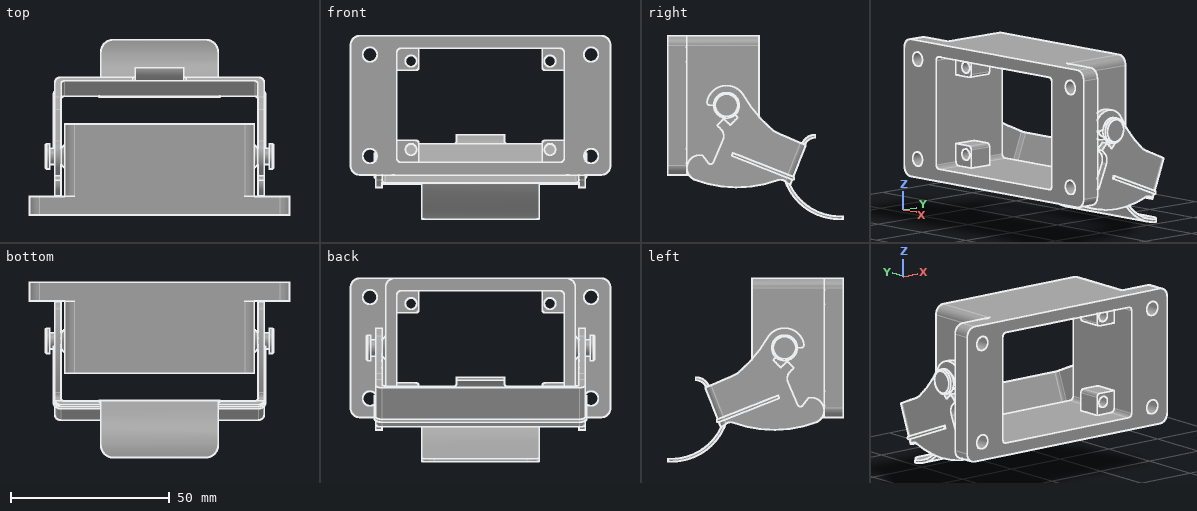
import cadquery as cq
import math

FLANGE_WIDTH = 82.0
HEIGHT = 43.95
FLANGE_THICKNESS = 6.0
SLEEVE_WIDTH = 59.9
HOUSING_DEPTH = 28.8
OUTER_CORNER_RADIUS = 3.0

OPENING_WIDTH = 52.7
OPENING_HEIGHT = 35.9
OPENING_CORNER_RADIUS = 1.2

FLANGE_HOLE_DIAMETER = 4.5
FLANGE_HOLE_X = 34.85
FLANGE_HOLE_Z = 16.0

BOSS_SIZE = 7.0
BOSS_CORNER_RADIUS = 1.1
BOSS_FRONT = 8.6
BOSS_LENGTH = 7.95
BOSS_HOLE_DIAMETER = 3.5
BOSS_HOLE_X = 21.9
BOSS_HOLE_Z = 13.9

PIN_Y = 18.5
PIN_DIAMETER = 5.2
PIN_ROOT_DIAMETER = 7.4
PIN_HEAD_DIAMETER = 8.0
PIN_HEAD_INNER_X = 34.5
PIN_HEAD_OUTER_X = 36.1
PIN_HEAD_CHAMFER = 0.5

LEVER_TILT = 21.5
ARM_INNER_X = 31.0
ARM_OUTER_X = 33.05
BACK_REACH = 27.9
SHEET = 1.3
TAB_SHEET = 1.0
BACK_TOP = -2.55
BACK_BOTTOM = -15.8
BEND_OUTER_RADIUS = 2.0
BEND_INNER_RADIUS = 1.0

HOOK_RADIUS = 6.2
HOOK_START_ANGLE = 37
HOOK_END_ANGLE = 170
HOOK_TIP_RADIUS = 1.1
HOOK_TIP_INSET = 0.3
SEAT_END_ANGLE = -45

NOTCH_AND_TOOTH = [(22.05, -3.85), (19.8, -6.2), (17.6, -4.3), (15.6, -6.3), (16.9, -7.6)]

ARM_TOP_BEND = [(37.3, -9.8), (35.35, -9.0), (33.4, -8.0)]
ARM_TOP_HOLLOW = (28.8, -3.6)
THROAT = [(17.6, -9.3), (17.4, -11.0)]
RECESS_ROOT = [(14.4, -17.9), (13.7, -18.5), (12.7, -18.0)]
BOTTOM_BOW = [(21.6, -25.9), (34.8, -23.6)]
BOTTOM_FLARE = (36.5, -23.7)

NOSE_RADIUS = 4.1
NOSE_START_ANGLE = 79
NOSE_END_ANGLE = -116
NOSE_Y = 10.2
NOSE_Z = -19.8

BEAD_RADIUS = 0.5
BEAD_RISE = -13.7
BEAD_END_REACH = 7.4

CATCH_WIDTH = 15.25
CATCH_RADIUS = 4.5
HANDLE_WIDTH = 37.1
HANDLE_RADIUS = 18.2
HANDLE_LOW_Y = 54.1
HANDLE_END_Y = 55.35
HANDLE_BOTTOM = -35.9
HANDLE_CORNER_RADIUS = 4.0
TAB_ROOT_RADIUS = 0.7

CORNERS = [(sx, sz) for sx in (-1, 1) for sz in (-1, 1)]
PIN_RADIUS = PIN_DIAMETER / 2


def block_y(width, height, front, length, radius):
    """Rounded rectangle centred on X and Z, running in +Y from front."""
    return (
        cq.Workplane("XZ", origin=(0, front, 0))
        .rect(width, height)
        .extrude(-length)
        .edges("|Y")
        .fillet(radius)
    )


def rod_y(diameter, x, z, length):
    """Cylinder along +Y, starting at Y = 0."""
    return cq.Workplane("XZ").center(x, z).circle(diameter / 2).extrude(-length)


def corner_boss(side_x, side_z):
    """Square boss filling one corner of the opening, with only its free corner rounded."""
    center_x = side_x * (OPENING_WIDTH - BOSS_SIZE) / 2
    center_z = side_z * (OPENING_HEIGHT - BOSS_SIZE) / 2
    free_corner = cq.selectors.NearestToPointSelector(
        (
            center_x - side_x * BOSS_SIZE / 2,
            BOSS_FRONT + BOSS_LENGTH / 2,
            center_z - side_z * BOSS_SIZE / 2,
        )
    )
    boss = (
        cq.Workplane("XZ", origin=(center_x, BOSS_FRONT, center_z))
        .rect(BOSS_SIZE, BOSS_SIZE)
        .extrude(-BOSS_LENGTH)
        .edges(free_corner)
        .fillet(BOSS_CORNER_RADIUS)
    )
    pad = (
        cq.Workplane("XZ", origin=(side_x * OPENING_WIDTH / 2, BOSS_FRONT, side_z * OPENING_HEIGHT / 2))
        .rect(BOSS_SIZE / 2, BOSS_SIZE / 2)
        .extrude(-BOSS_LENGTH)
    )
    return boss.union(pad)


def pivot_pin():
    """Headed pin on the +X wall: conical root, shank and chamfered head, revolved about its axis."""
    wall_x = SLEEVE_WIDTH / 2
    head_radius = PIN_HEAD_DIAMETER / 2
    return (
        cq.Workplane("XY", origin=(0, PIN_Y, 0))
        .moveTo(wall_x, 0)
        .lineTo(wall_x, PIN_ROOT_DIAMETER / 2)
        .lineTo(ARM_INNER_X, PIN_RADIUS)
        .lineTo(PIN_HEAD_INNER_X, PIN_RADIUS)
        .lineTo(PIN_HEAD_INNER_X, head_radius)
        .lineTo(PIN_HEAD_OUTER_X - PIN_HEAD_CHAMFER, head_radius)
        .lineTo(PIN_HEAD_OUTER_X, head_radius - PIN_HEAD_CHAMFER)
        .lineTo(PIN_HEAD_OUTER_X, 0)
        .close()
        .revolve(360, (0, 0, 0), (1, 0, 0))
    )


def make_housing():
    housing = block_y(FLANGE_WIDTH, HEIGHT, 0, FLANGE_THICKNESS, OUTER_CORNER_RADIUS)
    housing = housing.union(block_y(SLEEVE_WIDTH, HEIGHT, 0, HOUSING_DEPTH, OUTER_CORNER_RADIUS))
    housing = housing.cut(
        block_y(OPENING_WIDTH, OPENING_HEIGHT, 0, HOUSING_DEPTH, OPENING_CORNER_RADIUS)
    )
    for side_x, side_z in CORNERS:
        housing = housing.union(corner_boss(side_x, side_z))
    for side_x, side_z in CORNERS:
        housing = housing.cut(
            rod_y(BOSS_HOLE_DIAMETER, side_x * BOSS_HOLE_X, side_z * BOSS_HOLE_Z, HOUSING_DEPTH)
        )
        housing = housing.cut(
            rod_y(FLANGE_HOLE_DIAMETER, side_x * FLANGE_HOLE_X, side_z * FLANGE_HOLE_Z, FLANGE_THICKNESS)
        )
    pin = pivot_pin()
    return housing.union(pin).union(pin.mirror("YZ"))


def lever_point(reach, rise):
    """(Y, Z) of a point given in the swung-down lever: reach from the pin axis, rise square to it."""
    tilt = math.radians(LEVER_TILT)
    y = PIN_Y + reach * math.cos(tilt) + rise * math.sin(tilt)
    z = -reach * math.sin(tilt) + rise * math.cos(tilt)
    return y, z


def on_circle(center, radius, degrees):
    """(Y, Z) on a circle, the angle counted from +Y towards +Z."""
    angle = math.radians(degrees)
    return center[0] + radius * math.cos(angle), center[1] + radius * math.sin(angle)


def extrude_across(outline, half_width):
    """Extrude a closed YZ outline symmetrically along X."""
    return outline.extrude(half_width, both=True)


def lever_blank():
    """Side shape of the lever, as wide as the whole U."""
    pin_center = (PIN_Y, 0)
    nose_center = (NOSE_Y, NOSE_Z)
    hook_tip_y = PIN_Y - HOOK_RADIUS
    outline = (
        cq.Workplane("YZ")
        .moveTo(*lever_point(BACK_REACH, BACK_TOP))
        .lineTo(*ARM_TOP_BEND[0])
        .threePointArc(*ARM_TOP_BEND[1:])
        .threePointArc(ARM_TOP_HOLLOW, on_circle(pin_center, HOOK_RADIUS, HOOK_START_ANGLE))
        .threePointArc(
            on_circle(pin_center, HOOK_RADIUS, 90),
            on_circle(pin_center, HOOK_RADIUS, HOOK_END_ANGLE),
        )
        .threePointArc((hook_tip_y + HOOK_TIP_INSET, HOOK_TIP_INSET), (hook_tip_y + HOOK_TIP_RADIUS, 0))
        .lineTo(PIN_Y - PIN_RADIUS, 0)
        .threePointArc(
            on_circle(pin_center, PIN_RADIUS, 90),
            on_circle(pin_center, PIN_RADIUS, SEAT_END_ANGLE),
        )
        .polyline(NOTCH_AND_TOOTH, includeCurrent=True)
        .threePointArc(*THROAT)
        .lineTo(*RECESS_ROOT[0])
        .threePointArc(*RECESS_ROOT[1:])
        .lineTo(*on_circle(nose_center, NOSE_RADIUS, NOSE_START_ANGLE))
        .threePointArc(
            on_circle(nose_center, NOSE_RADIUS, 180),
            on_circle(nose_center, NOSE_RADIUS, NOSE_END_ANGLE),
        )
        .threePointArc(*BOTTOM_BOW)
        .threePointArc(BOTTOM_FLARE, lever_point(BACK_REACH - SHEET, BACK_BOTTOM))
        .lineTo(*lever_point(BACK_REACH, BACK_BOTTOM))
        .close()
    )
    return extrude_across(outline, ARM_OUTER_X)


def lever_plane():
    """Tilted plane through the pin axis: local X is the part's X, local Y is the lever's reach."""
    tilt = math.radians(LEVER_TILT)
    return cq.Plane(origin=(0, PIN_Y, 0), xDir=(1, 0, 0), normal=(0, math.sin(tilt), math.cos(tilt)))


def u_block(half_width, reach, radius):
    """Block on the lever plane, with rounded back corners, reaching past the lever on all other sides."""
    return (
        cq.Workplane(lever_plane())
        .moveTo(-half_width, -BACK_REACH)
        .lineTo(-half_width, reach - radius)
        .radiusArc((-half_width + radius, reach), radius)
        .lineTo(half_width - radius, reach)
        .radiusArc((half_width, reach - radius), radius)
        .lineTo(half_width, -BACK_REACH)
        .close()
        .extrude(2 * BACK_REACH, both=True)
    )


def stiffening_bead():
    """Round bar following the outer face of the U; its inner half is buried in the lever."""
    straight_end = BACK_REACH - BEND_OUTER_RADIUS
    plate_half = ARM_OUTER_X - BEND_OUTER_RADIUS
    plane = cq.Workplane(lever_plane()).workplane(offset=BEAD_RISE)
    path = (
        plane.moveTo(-ARM_OUTER_X, BEAD_END_REACH)
        .lineTo(-ARM_OUTER_X, straight_end)
        .radiusArc((-plate_half, BACK_REACH), BEND_OUTER_RADIUS)
        .lineTo(plate_half, BACK_REACH)
        .radiusArc((ARM_OUTER_X, straight_end), BEND_OUTER_RADIUS)
        .lineTo(ARM_OUTER_X, BEAD_END_REACH)
    )
    start_y, start_z = lever_point(BEAD_END_REACH, BEAD_RISE)
    end_plane = cq.Plane(
        origin=(-ARM_OUTER_X, start_y, start_z), xDir=(1, 0, 0), normal=lever_plane().yDir.toTuple()
    )
    return cq.Workplane(end_plane).circle(BEAD_RADIUS).sweep(path)


def flared_front(width, root_z, direction):
    """Front outline of a tab as a block along Y, filleted out to a wider root.

    Direction is +1 for a tab that rises from root_z and -1 for one that hangs from it.
    """
    half = width / 2
    flare = half + TAB_ROOT_RADIUS
    shoulder_z = root_z + direction * TAB_ROOT_RADIUS
    end_z = root_z + direction * HANDLE_RADIUS
    buried_z = root_z - direction * TAB_ROOT_RADIUS
    dip = TAB_ROOT_RADIUS * (1 - math.sqrt(0.5))
    return (
        cq.Workplane("XZ")
        .moveTo(-flare, buried_z)
        .lineTo(-flare, root_z)
        .threePointArc((-half - dip, root_z + direction * dip), (-half, shoulder_z))
        .lineTo(-half, end_z)
        .lineTo(half, end_z)
        .lineTo(half, shoulder_z)
        .threePointArc((half + dip, root_z + direction * dip), (flare, root_z))
        .lineTo(flare, buried_z)
        .close()
        .extrude(-HANDLE_END_Y)
    )


def curved_strip(center, radius, start, end, width):
    """Sheet strip bent about an axis along X; radius is its outer one, angles are in degrees."""
    middle = (start + end) / 2
    inner_radius = radius - TAB_SHEET
    outline = (
        cq.Workplane("YZ")
        .moveTo(*on_circle(center, radius, start))
        .threePointArc(on_circle(center, radius, middle), on_circle(center, radius, end))
        .lineTo(*on_circle(center, inner_radius, end))
        .threePointArc(on_circle(center, inner_radius, middle), on_circle(center, inner_radius, start))
        .close()
    )
    return extrude_across(outline, width / 2)


def catch_tab():
    """Upper tab: leaves the back plate tangentially and curls over until it is level."""
    inner_reach = BACK_REACH - SHEET
    center = lever_point(inner_reach + CATCH_RADIUS, BACK_TOP)
    _, root_z = lever_point(inner_reach, BACK_TOP)
    strip = curved_strip(center, CATCH_RADIUS, 180 - LEVER_TILT, 90, CATCH_WIDTH + 2 * TAB_ROOT_RADIUS)
    return strip.intersect(flared_front(CATCH_WIDTH, root_z, 1))


def handle_tab():
    """Lower tab: a long arc down and back, with rounded end corners."""
    center = (HANDLE_LOW_Y, HANDLE_BOTTOM + HANDLE_RADIUS)
    root = lever_point(BACK_REACH - SHEET, BACK_BOTTOM)
    start = 180 + math.degrees(math.atan2(center[1] - root[1], center[0] - root[0]))
    end = 270 + math.degrees(math.asin((HANDLE_END_Y - HANDLE_LOW_Y) / HANDLE_RADIUS))
    strip = curved_strip(center, HANDLE_RADIUS, start, end, HANDLE_WIDTH + 2 * TAB_ROOT_RADIUS)
    strip = strip.intersect(flared_front(HANDLE_WIDTH, root[1], -1))
    for side in (-1, 1):
        end_corner = cq.selectors.NearestToPointSelector(
            (side * HANDLE_WIDTH / 2, HANDLE_END_Y, HANDLE_BOTTOM + TAB_SHEET / 2)
        )
        strip = strip.edges(end_corner).fillet(HANDLE_CORNER_RADIUS)
    return strip


def make_lever():
    lever = lever_blank().intersect(u_block(ARM_OUTER_X, BACK_REACH, BEND_OUTER_RADIUS))
    lever = lever.cut(u_block(ARM_INNER_X, BACK_REACH - SHEET, BEND_INNER_RADIUS))
    return lever.union(stiffening_bead()).union(catch_tab()).union(handle_tab())


housing = make_housing()
lever = make_lever()

result = cq.Compound.makeCompound([housing.solids().val(), lever.solids().val()])